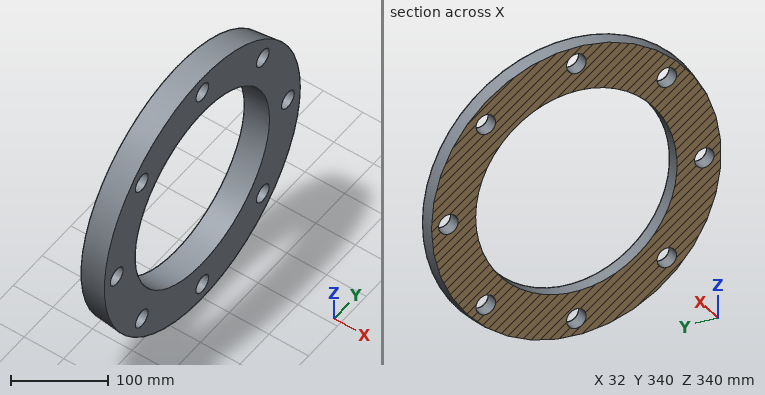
import cadquery as cq

thickness = 32.0
large_diameter = 340.0
small_diameter = 333.2
bore_diameter = 233.0
bolt_circle_diameter = 296.8
bolt_hole_diameter = 22.0
bolt_count = 8


def tapered_disc():
    """Solid disc along X whose rim widens towards +X."""
    profile = [
        (0, 0),
        (0, small_diameter / 2),
        (thickness, large_diameter / 2),
        (thickness, 0),
    ]
    return cq.Workplane("XY").polyline(profile).close().revolve(360, (0, 0, 0), (1, 0, 0))


def central_bore():
    return cq.Workplane("YZ").circle(bore_diameter / 2).extrude(thickness)


def bolt_holes():
    """Evenly spaced through holes, the first one on the Y axis."""
    return (
        cq.Workplane("YZ")
        .polarArray(bolt_circle_diameter / 2, 0, 360, bolt_count)
        .circle(bolt_hole_diameter / 2)
        .extrude(thickness)
    )


result = tapered_disc().cut(central_bore()).cut(bolt_holes())